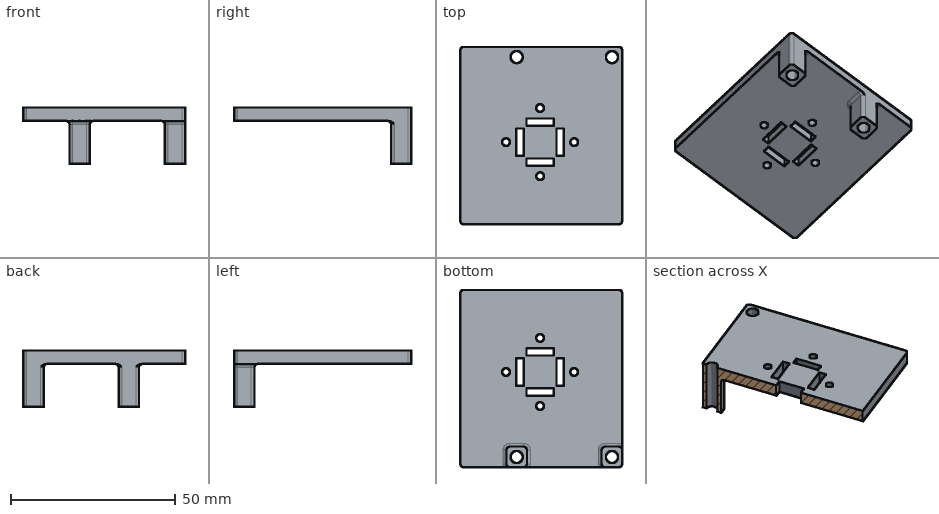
import cadquery as cq

plate_width = 49.25
plate_length = 53.95
plate_thickness = 4.15
total_height = 17.15
corner_radius = 1.0

post_side = 6.25
post_height = total_height - plate_thickness
post_spacing = 28.95
post_hole_diameter = 3.6
root_fillet = 1.0
right_post_x = plate_width - post_side / 2
post_y = plate_length - post_side / 2
post_centers = [(right_post_x - post_spacing, post_y), (right_post_x, post_y)]

pattern_center = (24.3, 25.0)
pattern_hole_radius = 10.35
pattern_hole_diameter = 2.25
slot_length = 8.25
slot_width = 2.15
slot_radius = 6.1
pattern_count = 4


def plate_outline(height):
    """Rounded plate outline with one corner at the origin, extruded up from Z = 0."""
    return (
        cq.Workplane("XY")
        .box(plate_width, plate_length, height, centered=False)
        .edges("|Z")
        .fillet(corner_radius)
    )


def filleted_post(center):
    """Post whose root flares into a slab reaching past the plate on every side."""
    slab_side = post_side + 4 * root_fillet
    slab = (
        cq.Workplane("XY", origin=(*center, post_height))
        .rect(slab_side, slab_side)
        .extrude(plate_thickness)
    )
    post = (
        cq.Workplane("XY", origin=(*center, 0))
        .rect(post_side, post_side)
        .extrude(post_height)
        .edges("|Z")
        .fillet(corner_radius)
    )
    reach = post_side / 2 + root_fillet / 2
    root_edges = cq.selectors.BoxSelector(
        (center[0] - reach, center[1] - reach, post_height - root_fillet / 2),
        (center[0] + reach, center[1] + reach, post_height + root_fillet / 2),
        boundingbox=True,
    )
    return slab.union(post).edges(root_edges).fillet(root_fillet)


def central_cutouts():
    """Slots facing the pattern centre, each with a round hole outside it."""
    slots = (
        cq.Workplane("XY", origin=(*pattern_center, 0))
        .polarArray(slot_radius, 0, 360, pattern_count)
        .rect(slot_width, slot_length)
        .extrude(total_height)
    )
    holes = (
        cq.Workplane("XY", origin=(*pattern_center, 0))
        .polarArray(pattern_hole_radius, 0, 360, pattern_count)
        .circle(pattern_hole_diameter / 2)
        .extrude(total_height)
    )
    return slots.union(holes)


def post_holes():
    """Round bores through the plate and the full height of the posts."""
    return (
        cq.Workplane("XY")
        .pushPoints(post_centers)
        .circle(post_hole_diameter / 2)
        .extrude(total_height)
    )


plate = plate_outline(plate_thickness).translate((0, 0, post_height))
trim = plate_outline(total_height)
result = plate
for post_center in post_centers:
    result = result.union(filleted_post(post_center).intersect(trim))
result = result.cut(central_cutouts()).cut(post_holes())